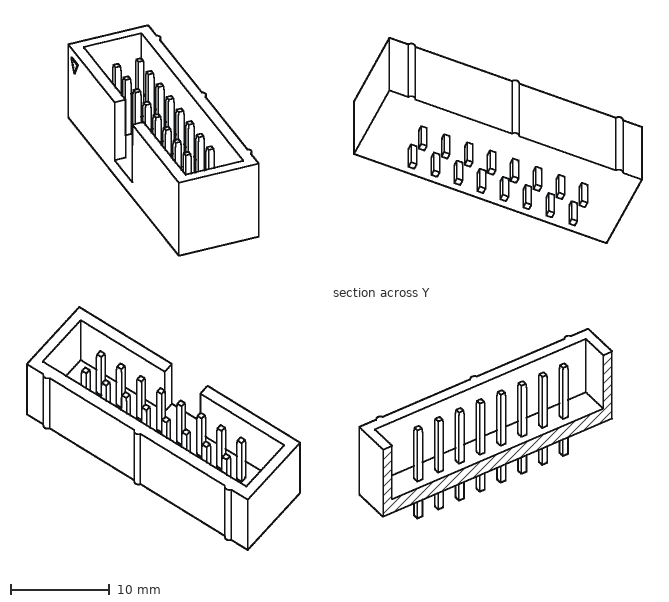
import cadquery as cq


body_length = 27.98
body_width = 8.85
body_height = 8.85
end_wall = 1.1
side_wall = 1.225
cavity_depth = 7.0
slot_width = 4.5

pins_per_row = 8
row_count = 2
pitch = 2.54
pin_size = 0.64
pin_tail = 3.0
pin_tip_below_rim = 0.35
tip_taper_height = 0.5
tip_taper_inset = 0.05

rib_height = 0.25
rib_base_width = 0.8
rib_spacing = 11.5

mark_width = 1.55
mark_height = 1.5
mark_relief = 0.1
mark_from_end = 1.75
mark_below_rim = 1.0

front_y = -body_width / 2
back_y = body_width / 2
floor_z = body_height - cavity_depth


def upright_box(length, width, z_bottom, z_top):
    """Box centred on the Z axis between two heights."""
    return cq.Workplane("XY", origin=(0, 0, z_bottom)).rect(length, width).extrude(z_top - z_bottom)


def make_housing():
    """Open-topped shroud with a polarising slot through the front wall."""
    housing = upright_box(body_length, body_width, 0, body_height)
    cavity = upright_box(body_length - 2 * end_wall, body_width - 2 * side_wall, floor_z, body_height)
    slot = upright_box(slot_width, side_wall, floor_z, body_height)
    slot = slot.translate((0, front_y + side_wall / 2, 0))
    return housing.cut(cavity).cut(slot)


def make_rib(x):
    """Full-height rounded rib on the back wall."""
    return (
        cq.Workplane("XY")
        .moveTo(x - rib_base_width / 2, back_y)
        .threePointArc((x, back_y + rib_height), (x + rib_base_width / 2, back_y))
        .close()
        .extrude(body_height)
    )


def make_mark():
    """Raised triangle pointing down at pin 1."""
    centre_x = -body_length / 2 + mark_from_end
    top_z = body_height - mark_below_rim
    corners = [
        (centre_x - mark_width / 2, top_z),
        (centre_x + mark_width / 2, top_z),
        (centre_x, top_z - mark_height),
    ]
    return cq.Workplane("XZ", origin=(0, front_y, 0)).polyline(corners).close().extrude(mark_relief)


def make_pin():
    """Square pin on the Z axis with a tapered upper tip."""
    tip_z = body_height - pin_tip_below_rim
    pin = upright_box(pin_size, pin_size, -pin_tail, tip_z)
    return pin.faces(">Z").chamfer(tip_taper_height, tip_taper_inset)


result = make_housing().union(make_mark())

for rib_index in (-1, 0, 1):
    result = result.union(make_rib(rib_index * rib_spacing))

pin = make_pin()
for column in range(pins_per_row):
    for row in range(row_count):
        pin_x = (column - (pins_per_row - 1) / 2) * pitch
        pin_y = (row - (row_count - 1) / 2) * pitch
        result = result.union(pin.translate((pin_x, pin_y, 0)))